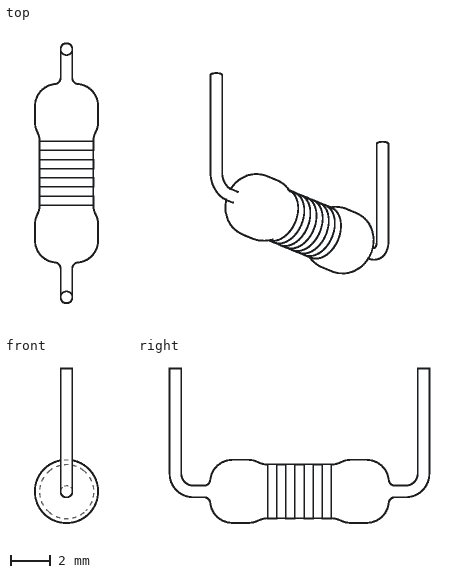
import cadquery as cq
import math


lead_diameter = 0.6
lead_pitch = 12.5
lead_top_height = 6.2
bend_radius = 0.9

cap_diameter = 3.2
barrel_diameter = 2.72
band_diameter = 2.74
band_count = 4
ring_width = 0.46

cap_land_length = 0.82
cap_dome_length = 1.12
shoulder_radius = 1.0
collar_radius = 0.3

cos_45 = math.cos(math.radians(45))

lead_radius = lead_diameter / 2
cap_radius = cap_diameter / 2
barrel_radius = barrel_diameter / 2
band_radius = band_diameter / 2
collar_outer_radius = lead_radius + collar_radius

ring_zone_length = ring_width * (2 * band_count - 1)

shoulder_start = ring_zone_length / 2
shoulder_drop = (cap_radius - barrel_radius) / 2
shoulder_run = math.sqrt(2 * shoulder_radius * shoulder_drop - shoulder_drop**2)
shoulder_middle = shoulder_start + shoulder_run
cap_land_start = shoulder_middle + shoulder_run
cap_land_end = cap_land_start + cap_land_length
cap_end = cap_land_end + cap_dome_length
collar_end = cap_end + collar_radius
lead_y = lead_pitch / 2


def along_y(radius, start, end):
    """Cylinder on the body axis between two Y stations."""
    axis_start = cq.Vector(0, start, 0)
    axis_direction = cq.Vector(0, 1, 0)
    return cq.Workplane(obj=cq.Solid.makeCylinder(radius, end - start, axis_start, axis_direction))


def end_cap():
    """Revolved +Y end cap: S-shaped shoulder, cylindrical land, dome and lead collar."""
    collar_middle_offset = collar_radius * (1 - cos_45)
    collar_middle = (lead_radius + collar_middle_offset, cap_end + collar_middle_offset)
    profile = (
        cq.Workplane("XY")
        .moveTo(0, shoulder_start)
        .lineTo(barrel_radius, shoulder_start)
        .radiusArc((barrel_radius + shoulder_drop, shoulder_middle), shoulder_radius)
        .radiusArc((cap_radius, cap_land_start), -shoulder_radius)
        .lineTo(cap_radius, cap_land_end)
        .tangentArcPoint((collar_outer_radius, cap_end), relative=False)
        .threePointArc(collar_middle, (lead_radius, collar_end))
        .lineTo(0, collar_end)
        .close()
    )
    return profile.revolve(360, (0, 0, 0), (0, 1, 0))


def lead():
    """Round +Y lead: straight out of the collar, then bent up to +Z."""
    bend_start = lead_y - bend_radius
    bend_middle_y = bend_start + bend_radius * cos_45
    bend_middle_z = bend_radius * (1 - cos_45)
    path = (
        cq.Workplane("YZ")
        .moveTo(collar_end, 0)
        .lineTo(bend_start, 0)
        .threePointArc((bend_middle_y, bend_middle_z), (lead_y, bend_radius))
        .lineTo(lead_y, lead_top_height)
    )
    section_plane = cq.Plane(origin=(0, collar_end, 0), xDir=(1, 0, 0), normal=(0, 1, 0))
    return cq.Workplane(section_plane).circle(lead_radius).sweep(path)


def color_band(index):
    """One proud ring; every second ring slot along the barrel is left as a gap."""
    start = -shoulder_start + 2 * index * ring_width
    return along_y(band_radius, start, start + ring_width)


half = end_cap().union(lead())
result = along_y(barrel_radius, -shoulder_start, shoulder_start)
result = result.union(half).union(half.mirror("XZ"))
for band_index in range(band_count):
    result = result.union(color_band(band_index))